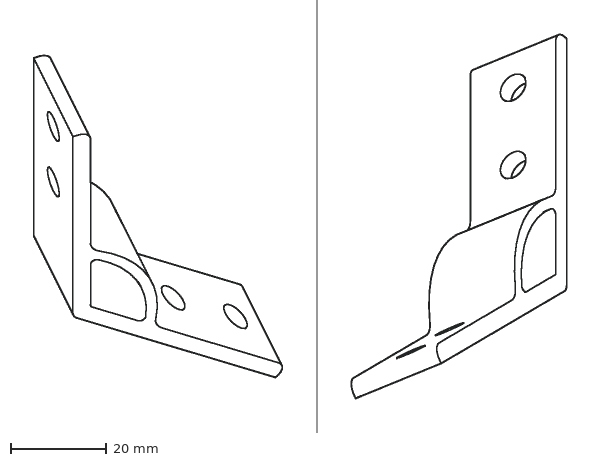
import cadquery as cq
import math

width = 22.0
leg_length = 65.0
leg_thickness = 4.0
leg_tilt = 45.0
tip_radius = 3.0
bend_radius = 3.0

brace_radius = 33.0
brace_thickness = 2.5
arc_center_distance = -15.0
brace_fillet = 5.0
window_tip_radius = 1.0
window_bend_radius = 1.0

hole_diameter = 6.5
hole_distances = (10.5, 30.5)

tilt = math.radians(leg_tilt)
bisector = tilt / 2
arc_center = (arc_center_distance * math.cos(bisector), arc_center_distance * math.sin(bisector))


def mirrored(point):
    """Reflect a (Y, Z) point across the plane of symmetry between the legs."""
    y, z = point
    return (
        y * math.cos(tilt) + z * math.sin(tilt),
        y * math.sin(tilt) - z * math.cos(tilt),
    )


def extrude_profile(profile):
    """Extrude a closed YZ profile across the width, centred on X = 0."""
    return profile.close().extrude(width / 2, both=True)


def round_edges(body, points, radius):
    """Fillet the edges parallel to X that pass through the given (Y, Z) points."""
    for y, z in points:
        edge = cq.selectors.NearestToPointSelector((0, y, z))
        body = body.edges("|X").edges(edge).fillet(radius)
    return body


def bend_corner(depth):
    """Point where the two leg faces at the given depth meet."""
    return (depth, depth * math.tan(bisector))


def arc_end(radius, depth):
    """Point where a brace arc of the given radius meets the upper leg at the given depth."""
    rise = math.sqrt(radius**2 - (depth - arc_center[0]) ** 2)
    return (depth, arc_center[1] + rise)


def brace_sector(radius, depth):
    """Solid bounded by both leg faces at the given depth and a brace arc of the given radius."""
    apex_distance = arc_center_distance + radius
    apex = (apex_distance * math.cos(bisector), apex_distance * math.sin(bisector))
    upper_end = arc_end(radius, depth)
    return extrude_profile(
        cq.Workplane("YZ")
        .moveTo(*bend_corner(depth))
        .lineTo(*upper_end)
        .threePointArc(apex, mirrored(upper_end))
    )


def make_legs():
    outer_tip = (0, leg_length)
    inner_tip = (leg_thickness, leg_length)
    legs = extrude_profile(
        cq.Workplane("YZ")
        .moveTo(0, 0)
        .lineTo(*outer_tip)
        .lineTo(*inner_tip)
        .lineTo(*bend_corner(leg_thickness))
        .lineTo(*mirrored(inner_tip))
        .lineTo(*mirrored(outer_tip))
    )
    legs = round_edges(legs, [inner_tip, mirrored(inner_tip)], tip_radius)
    return round_edges(legs, [(0, 0)], bend_radius)


def make_window():
    radius = brace_radius - brace_thickness
    window = brace_sector(radius, leg_thickness)
    upper_corner = arc_end(radius, leg_thickness)
    window = round_edges(window, [upper_corner, mirrored(upper_corner)], window_tip_radius)
    return round_edges(window, [bend_corner(leg_thickness)], window_bend_radius)


def add_brace(body):
    body = body.union(brace_sector(brace_radius, leg_thickness / 2)).clean()
    upper_corner = arc_end(brace_radius, leg_thickness)
    body = round_edges(body, [upper_corner, mirrored(upper_corner)], brace_fillet)
    return body.cut(make_window())


def make_hole(center, direction):
    """Cylinder through one leg, from a (Y, Z) center on its outer face along a (Y, Z) direction."""
    base = cq.Vector(0, *center)
    axis = cq.Vector(0, *direction)
    return cq.Workplane(obj=cq.Solid.makeCylinder(hole_diameter / 2, leg_thickness, base, axis))


def cut_holes(body):
    inward = (1, 0)
    for distance in hole_distances:
        center = (0, leg_length - distance)
        body = body.cut(make_hole(center, inward))
        body = body.cut(make_hole(mirrored(center), mirrored(inward)))
    return body


result = cut_holes(add_brace(make_legs()))